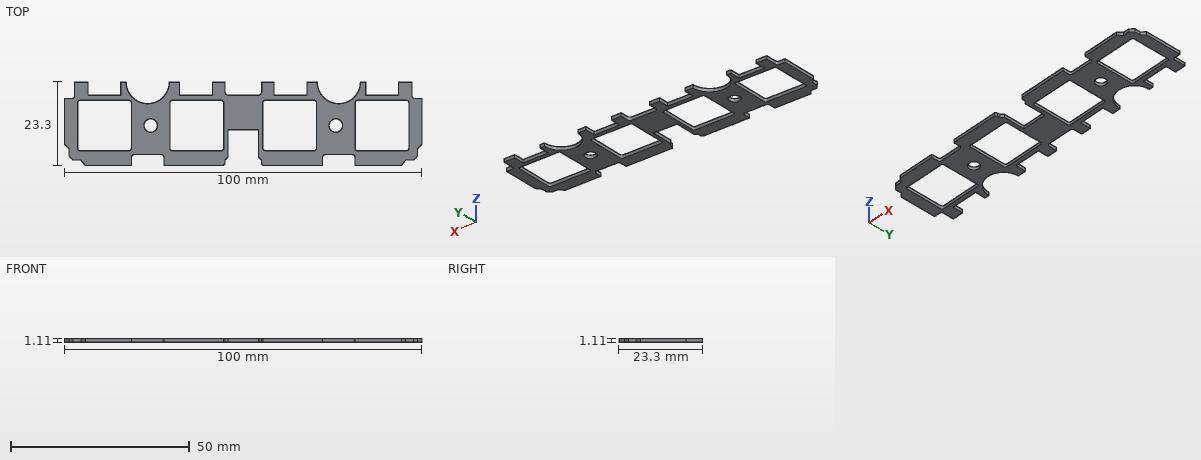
import cadquery as cq

length = 100.0
width = 23.33
thickness = 1.11
half_length = length / 2

window_length = 14.95
window_width = 14.0
window_corner_radius = 0.6
window_pitch = 25.8
pair_center_x = 25.87
window_center_y = 11.2
hole_diameter = 3.7

top_notch_depth = 3.65
top_notch_length = 9.1
top_notch_centers_x = (13.2, 38.8)
center_notch_length = 10.2
center_notch_corner_radius = 1.0
shoulder_length = 2.8
shoulder_depth = 4.55
shoulder_corner_radius = 0.6
scallop_radius = 6.0
scallop_center_x = 26.7

bottom_notch_length = 9.0
bottom_notch_depth = 3.05
bottom_notch_corner_radius = 0.75
center_slot_length = 8.4
center_slot_depth = 10.0

side_chamfer = 1.3
step_bottom_y = 1.5
step_chamfer = 1.15
step_top_y = 4.7
step_end_x = 45.4
bottom_chamfer_length = 1.25

slot_step_top_y = 2.4
slot_step_chamfer = 0.85
slot_foot_height = 0.6
slot_foot_length = 0.5


def block(center_x, y_low, size_x, size_y):
    """Full-thickness block given by its X centre and lower Y edge."""
    return (
        cq.Workplane("XY")
        .center(center_x, y_low + size_y / 2)
        .rect(size_x, size_y)
        .extrude(thickness)
    )


def notch(center_x, y_low, size_x, size_y, corner_radius, corner_side):
    """Edge notch with its two inner corners rounded."""
    return block(center_x, y_low, size_x, size_y).edges("|Z").edges(corner_side).fillet(corner_radius)


def half_plate():
    """Outline of the +X half, with both stepped lower corners."""
    shoulder_x = half_length - shoulder_length
    shoulder_y = width - shoulder_depth
    step_x = half_length - side_chamfer
    slot_x = center_slot_length / 2
    foot_x = slot_x + slot_step_chamfer
    outline = [
        (0, width),
        (shoulder_x, width),
        (shoulder_x, shoulder_y),
        (half_length, shoulder_y),
        (half_length, step_top_y + side_chamfer),
        (step_x, step_top_y),
        (step_x, step_bottom_y + step_chamfer),
        (step_x - step_chamfer, step_bottom_y),
        (step_end_x, step_bottom_y),
        (step_end_x - bottom_chamfer_length, 0),
        (foot_x + slot_foot_length, 0),
        (foot_x, slot_foot_height),
        (foot_x, slot_step_top_y - slot_step_chamfer),
        (slot_x, slot_step_top_y),
        (slot_x, center_slot_depth),
        (0, center_slot_depth),
    ]
    plate = cq.Workplane("XY").polyline(outline).close().extrude(thickness)
    shoulder_corner = cq.selectors.NearestToPointSelector((shoulder_x, shoulder_y, thickness / 2))
    return plate.edges("|Z").edges(shoulder_corner).fillet(shoulder_corner_radius)


def window(center_x):
    """Rounded rectangular opening."""
    y_low = window_center_y - window_width / 2
    return block(center_x, y_low, window_length, window_width).edges("|Z").fillet(window_corner_radius)


def cylinder(center_x, center_y, radius):
    """Full-thickness round cutter."""
    return cq.Workplane("XY").center(center_x, center_y).circle(radius).extrude(thickness)


half = half_plate()

for offset in (-window_pitch / 2, window_pitch / 2):
    half = half.cut(window(pair_center_x + offset))

half = half.cut(cylinder(pair_center_x, window_center_y, hole_diameter / 2))
half = half.cut(cylinder(scallop_center_x, width, scallop_radius))

top_notch_floor = width - top_notch_depth
for notch_x in top_notch_centers_x:
    half = half.cut(block(notch_x, top_notch_floor, top_notch_length, top_notch_depth))

half = half.cut(
    notch(0, top_notch_floor, center_notch_length, top_notch_depth, center_notch_corner_radius, "<Y")
)
half = half.cut(
    notch(scallop_center_x, 0, bottom_notch_length, bottom_notch_depth, bottom_notch_corner_radius, ">Y")
)

result = half.union(half.mirror("YZ")).clean()